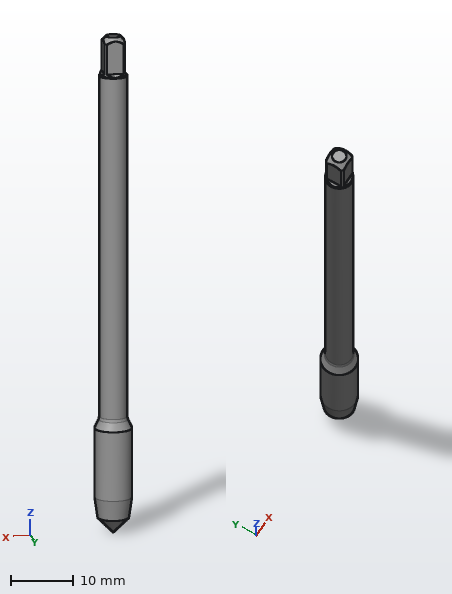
import cadquery as cq

TOTAL_LENGTH = 82.3

HEAD_RADIUS = 6.1 / 2
POINT_RADIUS = 2.55
POINT_HEIGHT = POINT_RADIUS
TAPER_TOP = 5.9
HEAD_TOP = 17.4

SHANK_RADIUS = 4.5 / 2
SHOULDER_HEIGHT = 1.65
SHOULDER_TOP = HEAD_TOP + SHOULDER_HEIGHT
SHOULDER_FILLET = 1.15
SHANK_TOP = 75.9

SQUARE_WIDTH = 3.4
DRIVE_RADIUS = 4.3 / 2
DRIVE_END_RADIUS = 1.15
DRIVE_CHAMFER = DRIVE_RADIUS - DRIVE_END_RADIUS
RUNOUT_HEIGHT = 0.5
SHANK_CHAMFER = SHANK_RADIUS - DRIVE_RADIUS


def revolve_profile(points):
    """Revolve a closed (radius, height) profile about the Z axis."""
    return cq.Workplane("XZ").polyline(points).close().revolve(360, (0, 0), (0, 1))


def make_head():
    """Cylindrical head with a slight lead taper and a conical point."""
    return revolve_profile([
        (0, 0),
        (POINT_RADIUS, POINT_HEIGHT),
        (HEAD_RADIUS, TAPER_TOP),
        (HEAD_RADIUS, HEAD_TOP),
        (0, HEAD_TOP),
    ])


def make_square_drive():
    """Square end with rounded corners, sloping feet and a conical end chamfer."""
    drive_height = TOTAL_LENGTH - SHANK_TOP
    runout = (
        cq.Workplane("XY", origin=(0, 0, SHANK_TOP))
        .rect(2 * DRIVE_RADIUS, 2 * DRIVE_RADIUS)
        .workplane(offset=RUNOUT_HEIGHT)
        .rect(SQUARE_WIDTH, SQUARE_WIDTH)
        .loft(ruled=True)
    )
    square = (
        runout.faces(">Z")
        .workplane()
        .rect(SQUARE_WIDTH, SQUARE_WIDTH)
        .extrude(drive_height - RUNOUT_HEIGHT)
    )
    corner_limit = (
        cq.Workplane("XY", origin=(0, 0, SHANK_TOP))
        .circle(DRIVE_RADIUS)
        .extrude(drive_height)
        .faces(">Z")
        .chamfer(DRIVE_CHAMFER)
    )
    return square.intersect(corner_limit)


def make_shank():
    """Round shank that stands on the head and carries the square drive."""
    rod = revolve_profile([
        (0, HEAD_TOP),
        (HEAD_RADIUS, HEAD_TOP),
        (SHANK_RADIUS, SHOULDER_TOP),
        (SHANK_RADIUS, SHANK_TOP - SHANK_CHAMFER),
        (DRIVE_RADIUS, SHANK_TOP),
        (0, SHANK_TOP),
    ])
    shoulder_edge = cq.selectors.NearestToPointSelector((0, 0, SHOULDER_TOP))
    rod = rod.edges("%CIRCLE").edges(shoulder_edge).fillet(SHOULDER_FILLET)
    return rod.union(make_square_drive())


head = make_head()
shank = make_shank()

result = cq.Compound.makeCompound([head.val(), shank.val()])